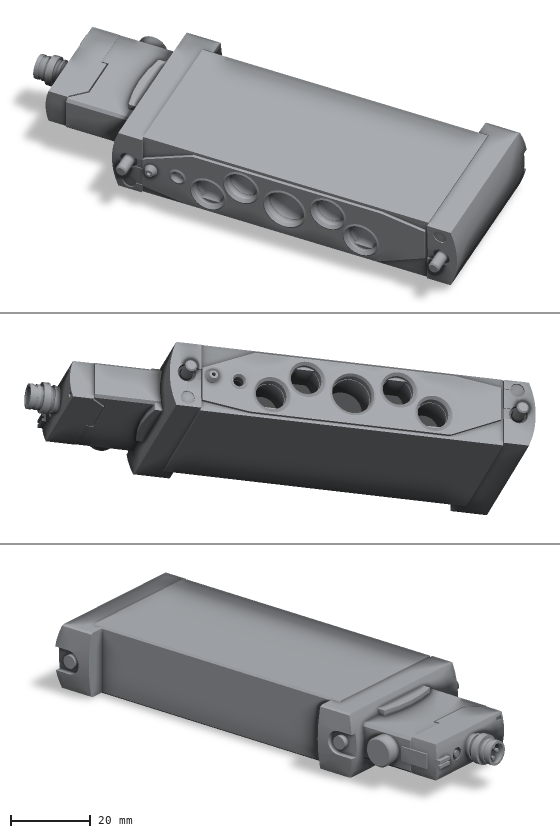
import cadquery as cq
import math


body_half_length = 39.35
body_half_height = 9.15
body_front = 0.85
body_rear = 37.6
body_edge_chamfer = 0.5

pad_left = -39.1
pad_right = 38.6
pad_half_height = 8.3
pad_flat_near = 25.4
pad_flat_far = 26.5
pad_end_near = 2.4
pad_end_far = 6.5

port_spacing_inner = 11.95
port_spacing_outer = 21.05
port_offset = 2.7
port_bore = 7.9
port_lip = 10.1
central_bore = 10.2
central_lip = 11.9
lip_height = 0.25
lip_slope = 0.45
port_bevel_depth = 0.6
port_upper_depth = 2.4
port_narrowing = 0.2
port_flat_start = 1.5
port_depth = 10.0
port_wall_limit = 5.8

pilot_port_x = -29.5
pilot_port_bore = 2.6
pilot_port_bevel = 3.5
pilot_port_lip = 4.75

key_x = -36.6
key_base_diameter = 3.0
key_diameter = 3.5
key_tip_diameter = 2.2
key_dimple = 1.0
key_height = 1.9
key_shoulder = 0.6

cap_outer = 47.6
cap_half_height = 8.8
cap_rear = 43.0
cap_end_bulge = 1.75
cap_rear_bulge = 1.0
cap_rear_chamfer_depth = 0.8
cap_rear_chamfer_height = 0.3
cap_arm_inner = 36.6

screw_x = 43.12
screw_z = 0.5
screw_diameter = 3.0
screw_clearance = 3.4
screw_clearance_depth = 5.0
screw_recess = 4.75
screw_recess_depth = 1.0
screw_stickout = 4.6
screw_tip_chamfer = 0.35
screw_head_diameter = 3.6
screw_head_height = 1.5
head_slot_width = 6.5
head_slot_floor = 41.2

dowel_x = 42.85
dowel_z = 6.3
dowel_diameter = 3.6
relief_depth = 0.2
relief_slot_width = 3.0
relief_slot_depth = 0.4
dowel_depth = 0.4

pilot_z = 0.5
pilot_half_height = 4.95
coil_half_height = 4.85
pilot_rear = 38.05
coil_front = 9.45
coil_chamfer = 0.7
coil_left = -64.5
plug_left = -70.7
plug_front = 10.6
plug_end_bulge = 0.8
plug_rear_bulge = 0.7
joint_gap = 0.4
joint_x = -62.3
joint_step_x = -60.4
joint_step_y = 26.4
joint_diagonal_y = 14.5
joint_gap_depth = 1.0

tab_length = 18.5
tab_half_height = 6.5
tab_crown_x = -50.0
tab_bulge = 1.2
tab_root_x = -45.2
tab_fillet = 0.4
upper_tab_center = 22.05
lower_tab_center = 19.0

knob_x = -54.8
knob_diameter = 7.9
knob_top = 41.55
knob_chamfer = 0.4

label_left = -67.8
label_right = -59.7
label_width = 4.0
label_height = 0.35

latch_front = 34.0
latch_width = 2.2
latch_left = -71.8
latch_groove = 0.5

lamp_y = 29.7
lamp_recess = 3.4
lamp_diameter = 1.8
lamp_depth = 0.8

notch_y = 12.15
notch_length = 1.9
notch_height = 1.0
notch_inset = 0.75
notch_depth = 0.4

connector_y = 23.25
connector_tip = -78.35
barrel_diameter = 6.5
groove_diameter = 6.1
flange_diameter = 7.9
collar_diameter = 7.0
socket_diameter = 5.2
socket_depth = 5.0
contact_diameter = 1.0
contact_length = 4.0
contact_circle = 1.6


def box(x0, x1, y0, y1, z0, z1):
    """Box between opposite corners."""
    return cq.Workplane("XY").box(x1 - x0, y1 - y0, z1 - z0, centered=False).translate((x0, y0, z0))


def rod_y(x, z, diameter, y0, y1):
    """Cylinder along Y."""
    return cq.Workplane("XZ", origin=(x, y0, z)).circle(diameter / 2).extrude(y0 - y1)


def rod_x(y, z, diameter, x0, x1):
    """Cylinder along X."""
    return cq.Workplane("YZ", origin=(x0, y, z)).circle(diameter / 2).extrude(x1 - x0)


def cone_y(x, z, diameter0, y0, diameter1, y1):
    """Truncated cone along Y."""
    profile = [(0, y0), (diameter0 / 2, y0), (diameter1 / 2, y1), (0, y1)]
    cone = cq.Workplane("XY").polyline(profile).close().revolve(360, (0, 0), (0, 1))
    return cone.translate((x, 0, z))


def mounting_pad():
    outline = [
        (pad_left, pad_end_near),
        (-pad_flat_near, pad_half_height),
        (pad_flat_far, pad_half_height),
        (pad_right, pad_end_far),
        (pad_right, -pad_end_near),
        (pad_flat_near, -pad_half_height),
        (-pad_flat_far, -pad_half_height),
        (pad_left, -pad_end_far),
    ]
    return cq.Workplane("XZ").polyline(outline).close().extrude(-body_front)


def lip(x, z, diameter):
    """Low sealing lip around a port, sloping on the outside."""
    return cone_y(x, z, diameter, 0, diameter - 2 * lip_slope, -lip_height)


def port(x, z, bore, mouth):
    """Port with a bevelled mouth whose deeper part leaves the body walls thick enough."""
    entry = rod_y(x, z, bore, -lip_height, port_flat_start)
    mouth_bevel = cone_y(x, z, mouth, -lip_height, bore, port_bevel_depth)
    upper = rod_y(x, z, bore, port_flat_start, port_upper_depth)
    deep = rod_y(x, z, bore - port_narrowing, port_upper_depth, port_depth)
    between_flats = box(-body_half_length, body_half_length, 0, port_depth, -port_wall_limit, port_wall_limit)
    flattened = upper.union(deep).intersect(between_flats)
    return entry.union(mouth_bevel).union(flattened)


def coding_pin():
    base = cone_y(key_x, 0, key_base_diameter, 0, key_diameter, -key_shoulder)
    tip = cone_y(key_x, 0, key_diameter, -key_shoulder, key_tip_diameter, -key_height)
    dimple = rod_y(key_x, 0, key_dimple, -key_height, -key_shoulder)
    return base.union(tip).cut(dimple)


def make_body():
    block = box(-body_half_length, body_half_length, body_front, body_rear,
                -body_half_height, body_half_height)
    block = block.edges("|X and >Y").chamfer(body_edge_chamfer)
    body = block.union(mounting_pad())

    ports = [(0, 0, central_bore, central_lip)]
    for side in (-1, 1):
        ports.append((side * port_spacing_inner, port_offset, port_bore, port_lip))
        ports.append((side * port_spacing_outer, -port_offset, port_bore, port_lip))
    for x, z, _, lip_diameter in ports:
        body = body.union(lip(x, z, lip_diameter))
    for x, z, bore, lip_diameter in ports:
        body = body.cut(port(x, z, bore, lip_diameter - 2 * lip_slope))

    body = body.union(lip(pilot_port_x, 0, pilot_port_lip))
    body = body.cut(port(pilot_port_x, 0, pilot_port_bore, pilot_port_bevel))
    return body.union(coding_pin())


def make_left_cap():
    corner_x = -cap_outer + cap_end_bulge
    rear_corner = cap_rear - cap_rear_bulge
    rear_z = cap_half_height - cap_rear_chamfer_height

    end_profile = (
        cq.Workplane("XZ")
        .moveTo(-cap_arm_inner, -cap_half_height)
        .lineTo(corner_x, -cap_half_height)
        .threePointArc((-cap_outer, 0), (corner_x, cap_half_height))
        .lineTo(-cap_arm_inner, cap_half_height)
        .close()
        .extrude(-cap_rear)
    )
    side_profile = (
        cq.Workplane("YZ", origin=(-cap_outer, 0, 0))
        .moveTo(0, -cap_half_height)
        .lineTo(rear_corner - cap_rear_chamfer_depth, -cap_half_height)
        .lineTo(rear_corner, -rear_z)
        .threePointArc((cap_rear, 0), (rear_corner, rear_z))
        .lineTo(rear_corner - cap_rear_chamfer_depth, cap_half_height)
        .lineTo(0, cap_half_height)
        .close()
        .extrude(cap_outer - cap_arm_inner)
    )
    body_space = box(-body_half_length, 0, 0, body_rear, -body_half_height, body_half_height)
    cap = end_profile.intersect(side_profile).cut(body_space)

    cap = cap.cut(rod_y(-screw_x, screw_z, screw_diameter, 0, cap_rear))
    cap = cap.cut(rod_y(-screw_x, screw_z, screw_clearance, 0, screw_clearance_depth))
    cap = cap.cut(rod_y(-screw_x, screw_z, screw_recess, 0, screw_recess_depth))
    half_slot = head_slot_width / 2
    slot = box(-cap_outer, -screw_x, head_slot_floor, cap_rear, screw_z - half_slot, screw_z + half_slot)
    slot = slot.union(rod_y(-screw_x, screw_z, head_slot_width, head_slot_floor, cap_rear))
    cap = cap.cut(slot)

    cap = cap.cut(rod_y(-dowel_x, -dowel_z, dowel_diameter, 0, dowel_depth))
    relief_top = screw_z + relief_slot_width / 2
    relief_bottom = screw_z - relief_slot_width / 2
    cap = cap.cut(box(-screw_x, -body_half_length, 0, relief_depth, -dowel_z, relief_bottom))
    return cap.cut(box(-screw_x, -body_half_length, 0, relief_slot_depth, relief_bottom, relief_top))


def make_left_screw():
    shank = rod_y(-screw_x, screw_z, screw_diameter, -screw_stickout, head_slot_floor)
    shank = shank.faces("<Y").chamfer(screw_tip_chamfer)
    head_top = head_slot_floor + screw_head_height
    return shank.union(rod_y(-screw_x, screw_z, screw_head_diameter, head_slot_floor, head_top))


def make_connector():
    """Stepped round connector with an open socket and three contacts."""
    steps = [
        (1.1, barrel_diameter),
        (0.8, groove_diameter),
        (0.8, barrel_diameter),
        (0.7, groove_diameter),
        (1.8, flange_diameter),
        (0.6, barrel_diameter),
        (0.5, groove_diameter),
        (0.5, collar_diameter),
        (2.0, barrel_diameter),
    ]
    x = connector_tip
    connector = cq.Workplane("XY")
    for length, diameter in steps:
        connector = connector.union(rod_x(connector_y, pilot_z, diameter, x, x + length))
        x += length
    socket_floor = connector_tip + socket_depth
    connector = connector.cut(rod_x(connector_y, pilot_z, socket_diameter, connector_tip, socket_floor))
    for angle in (-90, 0, 90):
        y = connector_y - contact_circle * math.cos(math.radians(angle))
        z = pilot_z + contact_circle * math.sin(math.radians(angle))
        connector = connector.union(
            rod_x(y, z, contact_diameter, socket_floor - contact_length, socket_floor)
        )
    return connector


def make_tab(side, center_y):
    """Crescent-shaped tab above (side 1) or below (side -1) the coil."""
    y0 = center_y - tab_length / 2
    y1 = center_y + tab_length / 2
    edge_x = tab_crown_x + tab_bulge
    tab = (
        cq.Workplane("XY", origin=(0, 0, pilot_z))
        .moveTo(tab_root_x, y0)
        .lineTo(edge_x, y0)
        .threePointArc((tab_crown_x, center_y), (edge_x, y1))
        .lineTo(tab_root_x, y1)
        .close()
        .extrude(side * tab_half_height)
    )
    return tab.edges("|Z and (not >X)").fillet(tab_fillet)


def make_knob():
    knob = rod_y(knob_x, pilot_z, knob_diameter, pilot_rear - coil_chamfer, knob_top)
    return knob.faces(">Y").chamfer(knob_chamfer)


def make_plug():
    z0 = pilot_z - pilot_half_height
    z1 = pilot_z + pilot_half_height
    face_corner = plug_left + plug_end_bulge
    rear_corner = pilot_rear - plug_rear_bulge
    end_profile = (
        cq.Workplane("XZ", origin=(0, plug_front, 0))
        .moveTo(joint_step_x, z0)
        .lineTo(face_corner, z0)
        .threePointArc((plug_left, pilot_z), (face_corner, z1))
        .lineTo(joint_step_x, z1)
        .close()
        .extrude(plug_front - pilot_rear)
    )
    side_profile = (
        cq.Workplane("YZ", origin=(plug_left, 0, 0))
        .moveTo(plug_front, z0)
        .lineTo(rear_corner, z0)
        .threePointArc((pilot_rear, pilot_z), (rear_corner, z1))
        .lineTo(plug_front, z1)
        .close()
        .extrude(joint_step_x - plug_left)
    )
    return end_profile.intersect(side_profile)


def joint_gap_cutter():
    """Gap between plug and coil: straight at the step, then diagonal to the front."""
    outline = [
        (joint_x, joint_step_y),
        (joint_step_x, joint_step_y),
        (joint_step_x, joint_diagonal_y),
        (coil_left, plug_front),
        (coil_left, plug_front + joint_gap * math.sqrt(2)),
        (joint_step_x - joint_gap, joint_diagonal_y + joint_gap / 2),
        (joint_step_x - joint_gap, joint_step_y - joint_gap),
        (joint_x, joint_step_y - joint_gap),
    ]
    cutter = cq.Workplane("XY", origin=(0, 0, pilot_z)).polyline(outline).close()
    cutter = cutter.extrude(pilot_half_height, both=True)
    half_core = pilot_half_height - joint_gap_depth
    core = box(plug_left, tab_root_x, 0, cap_rear, pilot_z - half_core, pilot_z + half_core)
    return cutter.cut(core)


def make_pilot(cap):
    z0 = pilot_z - coil_half_height
    z1 = pilot_z + coil_half_height
    coil = box(coil_left, tab_root_x, coil_front, pilot_rear, z0, z1).edges("|X").chamfer(coil_chamfer)
    plug = make_plug()

    plug_side = (
        cq.Workplane("XY", origin=(0, 0, pilot_z))
        .polyline([
            (coil_left, plug_front),
            (joint_step_x, joint_diagonal_y),
            (joint_step_x, joint_step_y),
            (joint_x, joint_step_y),
            (joint_x, pilot_rear),
            (plug_left, pilot_rear),
            (plug_left, plug_front),
        ])
        .close()
        .extrude(pilot_half_height, both=True)
    )
    pilot = coil.cut(plug_side).union(plug.intersect(plug_side)).cut(joint_gap_cutter())

    pilot = pilot.union(make_tab(1, upper_tab_center)).union(make_tab(-1, lower_tab_center))
    pilot = pilot.cut(cap).union(make_connector()).union(make_knob())

    half_label = label_width / 2
    label_base = pilot_rear - plug_rear_bulge
    label_top = pilot_rear + label_height
    pilot = pilot.union(
        box(label_left, label_right, label_base, label_top, pilot_z - half_label, pilot_z + half_label)
    )

    half_latch = latch_width / 2
    latch = box(latch_left, plug_left + plug_end_bulge, latch_front, pilot_rear,
                pilot_z - half_latch, pilot_z + half_latch)
    half_groove = latch_groove / 2
    groove = box(latch_left, latch_left + latch_groove, latch_front, pilot_rear,
                 pilot_z - half_groove, pilot_z + half_groove)
    pilot = pilot.union(latch.cut(groove))

    lamp_floor = plug_left + lamp_depth
    pilot = pilot.cut(rod_x(lamp_y, pilot_z, lamp_recess, plug_left, lamp_floor))
    pilot = pilot.union(rod_x(lamp_y, pilot_z, lamp_diameter, plug_left, lamp_floor))

    for side in (-1, 1):
        notch_z = pilot_z + side * (pilot_half_height - notch_inset - notch_height / 2)
        notch = cq.Workplane("XY").box(2 * notch_depth, notch_length, notch_height)
        pilot = pilot.cut(notch.translate((plug_left + plug_end_bulge / 2, notch_y, notch_z)))
    return pilot


left_cap = make_left_cap()
left_screw = make_left_screw()
half_turn = ((0, 0, 0), (0, 1, 0), 180)
right_cap = left_cap.rotate(*half_turn)
right_screw = left_screw.rotate(*half_turn)
body = make_body()
pilot = make_pilot(left_cap)

result = cq.Compound.makeCompound([
    body.val(),
    left_cap.val(),
    right_cap.val(),
    left_screw.val(),
    right_screw.val(),
    pilot.val(),
])